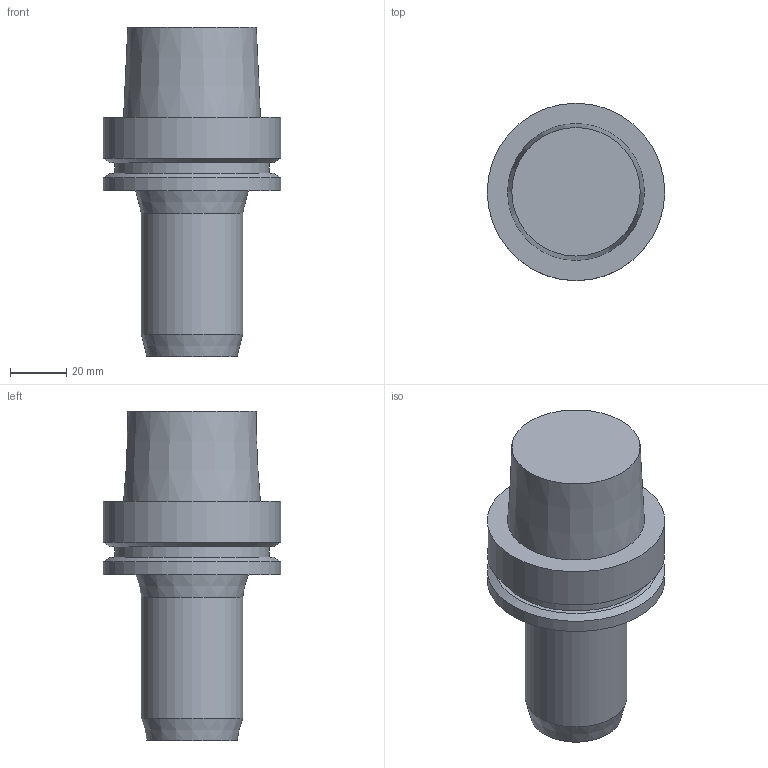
import cadquery as cq

shank_diameter = 36.0
tip_diameter = 32.0
tip_height = 8.0

neck_diameter = 40.0
neck_height = 8.0
neck_top_z = 59.0

flange_diameter = 63.0
flange_height = 26.0
groove_diameter = 55.0
groove_center_height = 8.0
groove_floor_width = 3.75
groove_mouth_width = 7.0
groove_chamfer_depth = 2.5

spigot_base_diameter = 48.6
spigot_top_diameter = 45.6
total_height = 117.0

flange_top_z = neck_top_z + flange_height
groove_center_z = neck_top_z + groove_center_height


def cone_frustum(bottom_z, top_z, bottom_diameter, top_diameter):
    """Solid of revolution about Z between two diameters."""
    profile = (
        cq.Workplane("XZ")
        .moveTo(0, bottom_z)
        .lineTo(bottom_diameter / 2, bottom_z)
        .lineTo(top_diameter / 2, top_z)
        .lineTo(0, top_z)
        .close()
    )
    return profile.revolve(360, (0, 0, 0), (0, 1, 0))


def make_shank():
    neck_bottom_z = neck_top_z - neck_height
    tip = cone_frustum(0, tip_height, tip_diameter, shank_diameter)
    body = cone_frustum(tip_height, neck_bottom_z, shank_diameter, shank_diameter)
    neck = cone_frustum(neck_bottom_z, neck_top_z, shank_diameter, neck_diameter)
    return tip.union(body).union(neck)


def make_groove_ring():
    """Ring cut from the flange: straight walls that flare out towards the rim."""
    floor_radius = groove_diameter / 2
    rim_radius = flange_diameter / 2
    flare_radius = rim_radius - groove_chamfer_depth
    half_floor = groove_floor_width / 2
    half_mouth = groove_mouth_width / 2
    profile = (
        cq.Workplane("XZ")
        .moveTo(floor_radius, groove_center_z - half_floor)
        .lineTo(flare_radius, groove_center_z - half_floor)
        .lineTo(rim_radius, groove_center_z - half_mouth)
        .lineTo(rim_radius, groove_center_z + half_mouth)
        .lineTo(flare_radius, groove_center_z + half_floor)
        .lineTo(floor_radius, groove_center_z + half_floor)
        .close()
    )
    return profile.revolve(360, (0, 0, 0), (0, 1, 0))


def make_flange():
    disc = cone_frustum(neck_top_z, flange_top_z, flange_diameter, flange_diameter)
    return disc.cut(make_groove_ring())


def make_spigot():
    return cone_frustum(flange_top_z, total_height, spigot_base_diameter, spigot_top_diameter)


result = make_shank().union(make_flange()).union(make_spigot())